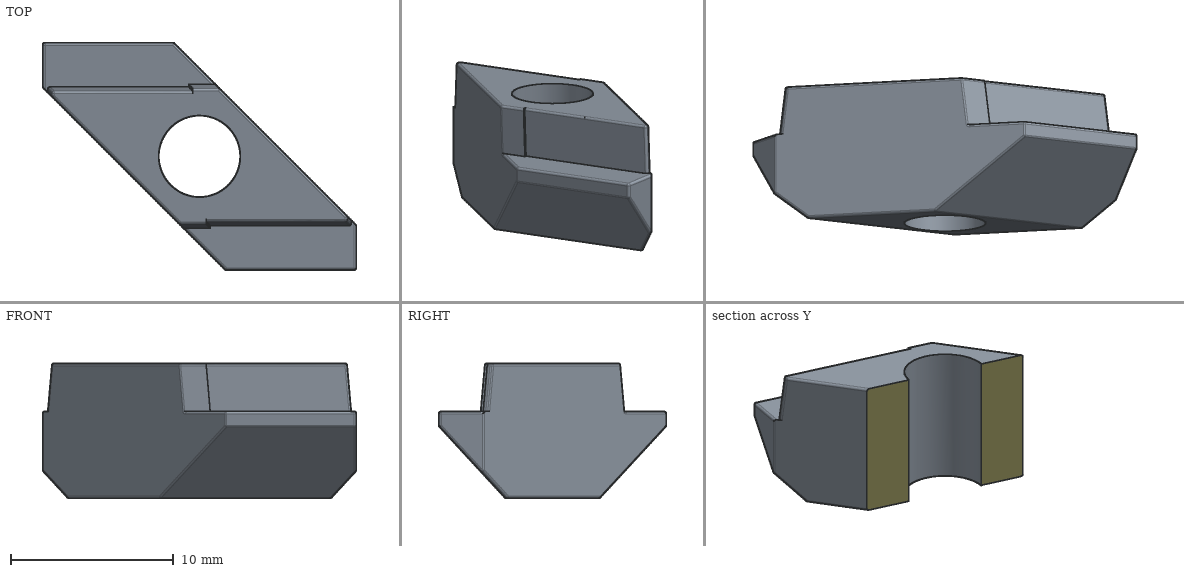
import cadquery as cq
import math

length = 19.3
width = 14.0
height = 8.3
side_offset = 5.4
ledge_height = 5.35
wing_edge_height = 4.44
bottom_width = 5.79

block_width = 8.53
block_length = 18.66
pad_width = 8.84
pad_end = 0.65
draft_angle = 5.0
pad_end_draft = 0.25

hole_diameter = 5.0
edge_radius = 0.15
tolerance = 0.02

block_rise = height - ledge_height
draft_inset = block_rise * math.tan(math.radians(draft_angle))


def make_slanted_prism():
    """Full-height rectangle trimmed by the two slanted sides."""
    x = length / 2
    y = width / 2
    outline = [
        (-x, y),
        (side_offset - y, y),
        (x, side_offset - x),
        (x, -y),
        (y - side_offset, -y),
        (-x, x - side_offset),
    ]
    return cq.Workplane("XY").polyline(outline).close().extrude(height)


def make_lower_body():
    """Wings that taper in towards a narrow bottom."""
    half_width = width / 2
    half_bottom = bottom_width / 2
    section = [
        (-half_bottom, 0),
        (half_bottom, 0),
        (half_width, wing_edge_height),
        (half_width, ledge_height),
        (-half_width, ledge_height),
        (-half_width, wing_edge_height),
    ]
    return cq.Workplane("YZ").polyline(section).close().extrude(length / 2, both=True)


def make_drafted_block():
    """Block with leaning long walls and ends."""
    inset = 2 * draft_inset
    return (
        cq.Workplane("XY", origin=(0, 0, ledge_height))
        .rect(block_length, block_width)
        .workplane(offset=block_rise)
        .rect(block_length - inset, block_width - inset)
        .loft(ruled=True)
    )


def make_pad():
    """Wider stretch of the block at the sharp corner on the -Y side."""
    base_y = -pad_width / 2
    top_y = base_y + draft_inset
    start_x = -length / 2
    top_end = pad_end - pad_end_draft
    return (
        cq.Workplane("XY", origin=(0, 0, ledge_height))
        .polyline([(start_x, 0), (pad_end, 0), (pad_end, base_y), (start_x, base_y)])
        .close()
        .workplane(offset=block_rise)
        .polyline([(start_x, 0), (top_end, 0), (top_end, top_y), (start_x, top_y)])
        .close()
        .loft(ruled=True)
    )


def make_block():
    """Drafted block with a pad at each of its two sharp corners."""
    clip = cq.Workplane("XY").box(block_length / 2, width, 2 * height)
    pad = make_pad().intersect(clip)
    opposite_pad = pad.rotate((0, 0, 0), (0, 0, 1), 180)
    return make_drafted_block().union(pad).union(opposite_pad)


def is_outer_edge(edge):
    """False for edges at the foot of the block and the steps at the pads' ends."""
    middle = edge.Center()
    on_ledge = abs(middle.z - ledge_height) < tolerance
    under_block = abs(middle.y) < pad_width / 2 + tolerance
    at_block_foot = on_ledge and under_block
    is_pad_top = abs(middle.z - height) < tolerance and edge.Length() > 2 * edge_radius
    above_ledge = middle.z > ledge_height + tolerance
    at_pad_step = above_ledge and abs(middle.x) < pad_end and not is_pad_top
    return not (at_block_foot or at_pad_step)


def round_edges(body):
    outer_edges = [edge for edge in body.edges().vals() if is_outer_edge(edge)]
    return body.newObject(outer_edges).fillet(edge_radius)


body = make_lower_body().union(make_block()).intersect(make_slanted_prism()).clean()
hole = cq.Workplane("XY").circle(hole_diameter / 2).extrude(height)
result = round_edges(body).cut(hole)